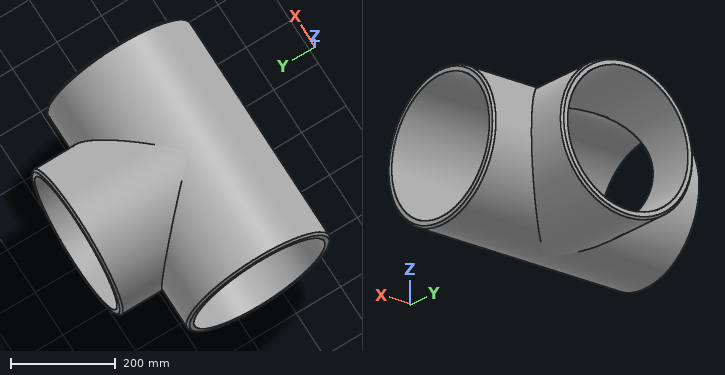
import cadquery as cq

run_length = 508.0
centre_to_end = run_length / 2
outer_radius = 324.0 / 2
bore_radius = 295.5 / 2

bevel = 4.5


def run_cylinder(radius):
    """Cylinder along X, centred on the tee centre."""
    return cq.Workplane("YZ").circle(radius).extrude(centre_to_end, both=True)


def branch_cylinder(radius):
    """Cylinder from the tee centre along +Y."""
    return cq.Workplane("XZ").circle(radius).extrude(-centre_to_end)


outer_run = run_cylinder(outer_radius).faces("<X or >X").chamfer(bevel)
outer_branch = branch_cylinder(outer_radius).faces(">Y").chamfer(bevel)
outer_tee = outer_run.union(outer_branch)

result = outer_tee.cut(run_cylinder(bore_radius)).cut(branch_cylinder(bore_radius))